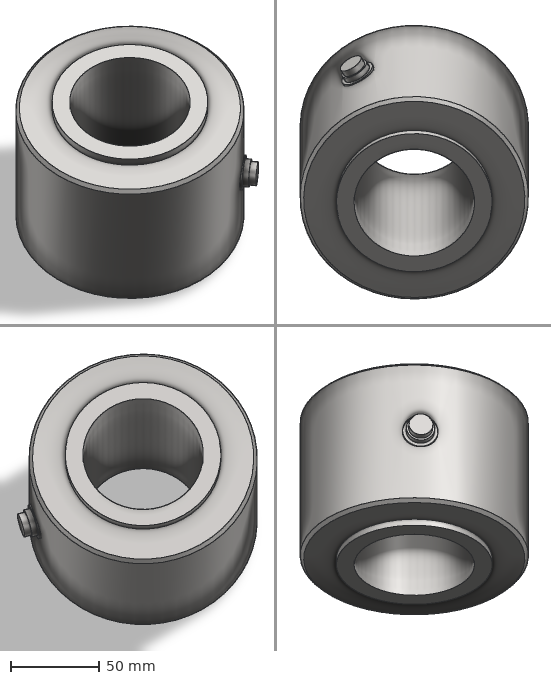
import cadquery as cq
import math

housing_diameter = 129.0
rim_diameter = 88.0
bore_diameter = 68.0
overall_height = 100.0
top_rim_height = 5.0
bottom_rim_height = 4.0
edge_chamfer = 2.0

connector_angle = 45.0
flange_diameter = 20.0
collar_diameter = 16.0
plug_diameter = 13.6
seat_radius = 63.1
flange_thickness = 2.0
collar_length = 3.4
plug_length = 4.0

flange_end_radius = seat_radius + flange_thickness
collar_end_radius = flange_end_radius + collar_length
plug_end_radius = collar_end_radius + plug_length

housing_radius = housing_diameter / 2
drum_height = overall_height - top_rim_height - bottom_rim_height
drum_bottom = bottom_rim_height
connector_height = drum_bottom + drum_height / 2


def radial_cylinder(diameter, inner_radius, outer_radius):
    """Cylinder along the connector axis, between two distances from the bore axis."""
    angle = math.radians(connector_angle)
    direction = cq.Vector(math.cos(angle), math.sin(angle), 0)
    start = direction * inner_radius + cq.Vector(0, 0, connector_height)
    solid = cq.Solid.makeCylinder(diameter / 2, outer_radius - inner_radius, start, direction)
    return cq.Workplane(obj=solid)


def make_housing():
    drum = (
        cq.Workplane("XY", origin=(0, 0, drum_bottom))
        .circle(housing_radius)
        .extrude(drum_height)
        .edges()
        .chamfer(edge_chamfer)
    )
    rims = cq.Workplane("XY").circle(rim_diameter / 2).extrude(overall_height)
    bore = cq.Workplane("XY").circle(bore_diameter / 2).extrude(overall_height)
    seat = radial_cylinder(flange_diameter, seat_radius, housing_radius)
    return drum.union(rims).cut(bore).cut(seat)


def make_connector():
    flange = radial_cylinder(flange_diameter, seat_radius, flange_end_radius)
    collar = radial_cylinder(collar_diameter, seat_radius, collar_end_radius)
    plug = radial_cylinder(plug_diameter, seat_radius, plug_end_radius)
    return flange.union(collar).union(plug)


housing = make_housing()
connector = make_connector()

result = cq.Compound.makeCompound([housing.val(), connector.val()])